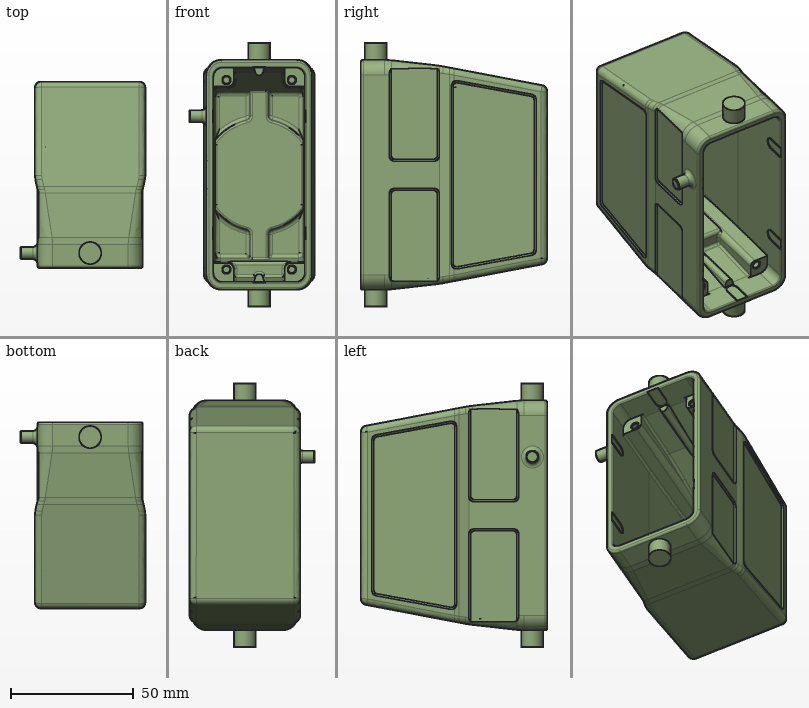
import cadquery as cq
import math

overall_height = 107.5
hood_depth = 76.0
rim_width = 43.0
rim_height = 93.7
rim_corner_radius = 6.1
rim_outer_round = 1.0
rim_inner_round = 0.5
back_width = 45.2
back_height = 72.2
back_corner_radius = 2.7
back_edge_round = 2.7
straight_depth = 11.1
waist_depth = 32.0
waist_height = 89.0
waist_corner_radius = 2.9
shoulder_depth = 37.0
bend_setback = 1.4
shoulder_setback = 0.9

cavity_mouth_width = 37.2
cavity_mouth_height = 87.3
cavity_corner_radius = 3.7
cavity_waist_height = 83.4
cavity_floor_width = 35.7
cavity_floor_height = 67.1
cavity_floor_corner_radius = 1.8
back_wall = 2.7
cavity_floor_depth = hood_depth - back_wall
floor_round = 1.7

pad_height = 3.8
pad_top_depth = cavity_floor_depth - pad_height
pad_base_radius = 23.2
pad_bridge_width = 8.2
pad_draft = 8.0
pad_junction_round = 1.6
pad_top_round = 1.0
pad_foot_round = 1.5
pad_border_round = 0.8
pad_border_half_length = 12.3

post_front_depth = 9.7
post_side_x = 10.4
post_side_z = 36.0
post_corner_radius = 2.2
post_draft = 0.7
post_foot_round = 1.0
post_hole_x = 13.3
post_hole_z = 38.6
post_hole_diameter = 2.9
post_hole_chamfer = 0.3
post_hole_depth = 21.5
key_nose_radius = 1.6
key_root_width = 4.3
key_top_z = 40.4
ledge_front_depth = 33.3
ledge_top_z = 35.2
ledge_top_round = 1.5
ledge_foot_round = 1.2
relief_width = 4.8
relief_depth = 0.3
relief_end_depth = post_front_depth

recess_depth = 0.5
recess_wall_run = 0.9
recess_corner_radius = 2.4
front_recess_start = 11.6
front_recess_inner_z = 5.5
back_recess_start = 36.8
back_recess_end = 71.5
back_recess_start_half_height = 38.8
back_recess_end_half_height = 32.5

pin_depth = 6.1
end_pin_diameter = 9.0
side_pin_diameter = 5.0
side_pin_tip_x = 28.4
side_pin_z = 23.9
side_pin_foot_round = 1.9
side_pin_tip_chamfer = 0.3

wall_overlap = 1.1
selection_margin = 0.05


def section(depth, width, height, radius):
    """Rounded-rectangle wire parallel to the rim, `depth` behind it."""
    plane = cq.Plane(origin=(0, depth, 0), xDir=(1, 0, 0), normal=(0, -1, 0))
    outline = cq.Sketch().rect(width, height).vertices().fillet(radius)
    return outline.reset().faces().val().outerWire().moved(cq.Location(plane))


def between(first, second, depth):
    """Section sizes at `depth` on the straight run from `first` to `second`."""
    share = (depth - first[0]) / (second[0] - first[0])
    return tuple(a + share * (b - a) for a, b in zip(first, second))


def loft_sections(sections):
    wires = [section(*sizes) for sizes in sections]
    return cq.Workplane(cq.Solid.makeLoft(wires, True)).clean()


def block(x_range, y_range, z_range):
    ranges = (x_range, y_range, z_range)
    sizes = [high - low for low, high in ranges]
    corner = cq.Vector(*[low for low, high in ranges])
    return cq.Workplane(cq.Solid.makeBox(*sizes, corner))


def with_mirror(part, plane):
    return part.union(part.mirror(plane))


def edges_near_depth(part, depth, half_x, z_range):
    """Edges whose centres lie in a thin slab at the given depth."""
    low = (-half_x, depth - selection_margin, z_range[0])
    high = (half_x, depth + selection_margin, z_range[1])
    return part.edges(cq.selectors.BoxSelector(low, high))


def outer_body():
    end_taper = (waist_height - back_height) / (hood_depth - waist_depth)
    shoulder_height = waist_height - end_taper * (shoulder_depth - waist_depth)
    rim = (0, rim_width, rim_height, rim_corner_radius)
    collar = (straight_depth, rim_width, rim_height, rim_corner_radius)
    waist = (waist_depth, rim_width, waist_height, waist_corner_radius)
    shoulder = (shoulder_depth, back_width, shoulder_height, back_corner_radius)
    back = (hood_depth, back_width, back_height, back_corner_radius)

    before_waist = between(collar, waist, waist_depth - bend_setback)
    after_waist = between(waist, shoulder, waist_depth + bend_setback)
    eased_height = (before_waist[2] + after_waist[2]) / 2
    eased_waist = (waist_depth, rim_width, eased_height, waist_corner_radius)

    body = loft_sections([
        rim,
        between(rim, collar, straight_depth - bend_setback),
        between(collar, waist, straight_depth + bend_setback),
        before_waist,
        eased_waist,
        after_waist,
        between(waist, shoulder, shoulder_depth - shoulder_setback),
        between(shoulder, back, shoulder_depth + shoulder_setback),
        back,
    ])
    body = body.faces(">Y").edges().fillet(back_edge_round)
    return body.faces("<Y").edges().fillet(rim_outer_round)


def tapered_recess(outline, face_x):
    """Recess with sloped walls cut inward from the -X side; `outline` holds (depth, z) corners."""
    slope = math.degrees(math.atan(recess_wall_run / recess_depth))
    side_plane = cq.Plane(origin=(-face_x, 0, 0), xDir=(0, 1, 0), normal=(1, 0, 0))
    sketch = cq.Sketch().polygon(outline + outline[:1]).vertices().fillet(recess_corner_radius)
    return cq.Workplane(side_plane).placeSketch(sketch).extrude(recess_depth, taper=slope)


def front_recess():
    """Recess beside the collar; it runs out through the rounded corner of the hood."""
    beyond_corner = rim_height / 2 + recess_corner_radius
    corners = [
        (front_recess_start, front_recess_inner_z),
        (waist_depth, front_recess_inner_z),
        (waist_depth, beyond_corner),
        (front_recess_start, beyond_corner),
    ]
    return tapered_recess(corners, rim_width / 2)


def back_recess():
    start, end = back_recess_start_half_height, back_recess_end_half_height
    corners = [
        (back_recess_start, -start),
        (back_recess_end, -end),
        (back_recess_end, end),
        (back_recess_start, start),
    ]
    return tapered_recess(corners, back_width / 2)


def cut_recesses(body):
    for recess in (with_mirror(front_recess(), "XY"), back_recess()):
        body = body.cut(with_mirror(recess, "YZ"))
    return body


def raised_pad():
    """Slab behind the cavity floor carrying a round pad bridged to both end walls."""
    half_span = overall_height / 2
    floor = cq.Workplane("XZ", origin=(0, cavity_floor_depth, 0))
    outline = (
        cq.Sketch()
        .circle(pad_base_radius)
        .rect(pad_bridge_width, 2 * half_span)
        .clean()
        .vertices()
        .fillet(pad_junction_round)
    )
    pad = floor.placeSketch(outline).extrude(pad_height, taper=pad_draft)
    pad = pad.faces("<Y").edges().fillet(pad_top_round)
    slab = block((-half_span, half_span), (cavity_floor_depth, hood_depth), (-half_span, half_span))
    inside_ends = (wall_overlap - half_span, half_span - wall_overlap)
    pad_foot = edges_near_depth(slab.union(pad), cavity_floor_depth, pad_base_radius, inside_ends)
    return pad_foot.fillet(pad_foot_round)


def corner_post():
    """Screw post in the +X +Z corner, widening toward the back; its outer sides lie in the walls."""
    size = rim_width
    outline = cq.Sketch().rect(size, size).vertices().fillet(post_corner_radius)
    return (
        cq.Workplane("XZ", origin=(post_side_x + size / 2, post_front_depth, post_side_z + size / 2))
        .placeSketch(outline)
        .extrude(-hood_depth, taper=-post_draft)
    )


def key():
    """Round-nosed rib along the upper end wall."""
    nose_z = key_top_z + key_nose_radius
    root_z = cavity_mouth_height / 2
    return (
        cq.Workplane("XZ", origin=(0, post_front_depth, 0))
        .moveTo(-key_root_width / 2, root_z)
        .lineTo(-key_nose_radius, nose_z)
        .threePointArc((0, key_top_z), (key_nose_radius, nose_z))
        .lineTo(key_root_width / 2, root_z)
        .close()
        .extrude(-hood_depth)
    )


def ledge():
    """Step across the lower end wall, between the two lower posts."""
    step = block(
        (-post_side_x - wall_overlap, post_side_x + wall_overlap),
        (ledge_front_depth, 2 * hood_depth),
        (-overall_height, -ledge_top_z),
    )
    return step.faces("<Y").edges(">Z").fillet(ledge_top_round)


def pad_side_fillets():
    """Concave strips where the pad meets the two side walls."""
    share = (pad_top_depth - waist_depth) / (cavity_floor_depth - waist_depth)
    wall_x = cavity_mouth_width / 2 - share * (cavity_mouth_width - cavity_floor_width) / 2
    radius = pad_border_round
    inner_x = wall_x - radius
    sag = radius * math.sqrt(0.5)
    strip = (
        cq.Workplane("XY", origin=(0, 0, -pad_border_half_length))
        .moveTo(inner_x, pad_top_depth)
        .threePointArc((inner_x + sag, pad_top_depth - radius + sag), (wall_x, pad_top_depth - radius))
        .lineTo(wall_x + radius, pad_top_depth - radius)
        .lineTo(wall_x + radius, pad_top_depth + radius)
        .lineTo(inner_x, pad_top_depth + radius)
        .close()
        .extrude(2 * pad_border_half_length)
    )
    return with_mirror(strip, "YZ")


def round_cavity_feet(core):
    """Fillet the roots of the posts, the ends of the bridge and the foot of the ledge."""
    end_z = cavity_mouth_height / 2 + wall_overlap
    x_range = (post_side_x - post_corner_radius, post_side_x + wall_overlap)
    y_range = (post_front_depth + wall_overlap, pad_top_depth - post_corner_radius)
    for x_side in (1, -1):
        for z_side in (1, -1):
            xs = sorted(x_side * x for x in x_range)
            zs = sorted(z_side * z for z in (post_side_z, end_z))
            corner = cq.selectors.BoxSelector(*zip(xs, y_range, zs))
            core = core.edges(corner).edges("not %CIRCLE").fillet(post_foot_round)

    bridge_ends = edges_near_depth(core, pad_top_depth, pad_border_round, (-end_z, end_z))
    core = bridge_ends.fillet(pad_border_round)
    ledge_foot = edges_near_depth(core, ledge_front_depth, post_side_x, (-end_z, -key_top_z + wall_overlap))
    return ledge_foot.fillet(ledge_foot_round)


def cavity():
    core = loft_sections([
        (0, cavity_mouth_width, cavity_mouth_height, cavity_corner_radius),
        (straight_depth, cavity_mouth_width, cavity_mouth_height, cavity_corner_radius),
        (waist_depth, cavity_mouth_width, cavity_waist_height, cavity_corner_radius),
        (cavity_floor_depth, cavity_floor_width, cavity_floor_height, cavity_floor_corner_radius),
    ])
    core = core.faces(">Y").edges().fillet(floor_round)
    core = core.cut(raised_pad()).cut(pad_side_fillets())
    right_posts = with_mirror(corner_post(), "XY")
    for obstacle in (right_posts, right_posts.mirror("YZ"), with_mirror(key(), "XY"), ledge()):
        core = core.cut(obstacle)
    return round_cavity_feet(core)


def wall_reliefs():
    """Shallow round-ended slots behind the pins, open at the rim."""
    radius = relief_width / 2
    length = relief_end_depth - radius
    side = (
        cq.Workplane("YZ")
        .moveTo(0, -radius)
        .lineTo(length, -radius)
        .threePointArc((relief_end_depth, 0), (length, radius))
        .lineTo(0, radius)
        .close()
        .extrude(cavity_mouth_width / 2 + relief_depth)
    )
    end_shift = (cavity_mouth_height - cavity_mouth_width) / 2
    end = side.rotate((0, 0, 0), (0, 1, 0), 90).translate((0, 0, -end_shift))
    slots = with_mirror(end, "XY")
    for z in (side_pin_z, -side_pin_z):
        slot = side.translate((0, 0, z))
        slots = slots.union(with_mirror(slot, "YZ"))
    return slots


def post_holes():
    corners = [(x, z) for x in (-post_hole_x, post_hole_x) for z in (-post_hole_z, post_hole_z)]
    front = cq.Workplane("XZ", origin=(0, post_front_depth, 0)).pushPoints(corners)
    holes = front.circle(post_hole_diameter / 2).extrude(-post_hole_depth)
    mouth_radius = post_hole_diameter / 2 + post_hole_chamfer
    mouths = front.circle(mouth_radius).extrude(-post_hole_chamfer, taper=45)
    return holes.union(mouths)


def end_pins():
    root_z = cavity_mouth_height / 2 + wall_overlap
    upper = (
        cq.Workplane("XY", origin=(0, pin_depth, root_z))
        .circle(end_pin_diameter / 2)
        .extrude(overall_height / 2 - root_z)
    )
    return with_mirror(upper, "XY")


def side_pin():
    """Pin on the -X wall with a flared foot, revolved about its own axis."""
    radius = side_pin_diameter / 2
    foot = side_pin_foot_round
    root = cavity_mouth_width / 2 + wall_overlap
    wall = rim_width / 2
    flare_sag = foot * (1 - math.sqrt(0.5))
    profile = (
        cq.Workplane("XY")
        .moveTo(-root, 0)
        .lineTo(-root, radius + foot)
        .lineTo(-wall, radius + foot)
        .threePointArc((-wall - flare_sag, radius + flare_sag), (-wall - foot, radius))
        .lineTo(-side_pin_tip_x + side_pin_tip_chamfer, radius)
        .lineTo(-side_pin_tip_x, radius - side_pin_tip_chamfer)
        .lineTo(-side_pin_tip_x, 0)
        .close()
    )
    return profile.revolve(360, (0, 0), (1, 0)).translate((0, pin_depth, side_pin_z))


def round_rim(body):
    """Round the inner edge of the rim."""
    return body.faces("<Y").wires(cq.selectors.LengthNthSelector(0)).fillet(rim_inner_round)


def hood():
    body = cut_recesses(outer_body())
    body = body.cut(cavity())
    body = round_rim(body)
    body = body.cut(post_holes()).cut(wall_reliefs())
    return body.union(end_pins()).union(side_pin())


result = hood()